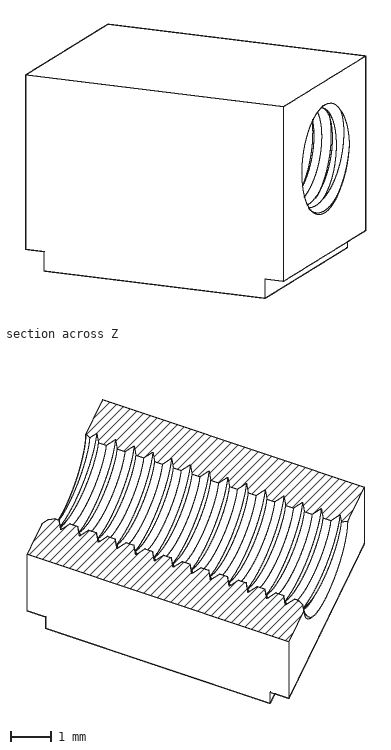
import cadquery as cq
import math

length = 7.0
width = 5.0
height = 5.0

step_length = 0.5
step_height = 0.5

bore_height = 3.0
minor_radius = 1.25
major_radius = 1.5
pitch = 0.5
flank_half_angle = math.radians(30)
chamfer_radius = 1.39
chamfer_half_angle = math.radians(30)

cutter_overlap = 0.1
overrun_turns = 2
end_clearance = 0.1

quarter_turn = 90
full_turn = 360


def make_block():
    """Block whose underside is stepped up at both X ends."""
    half_length = length / 2
    half_foot = half_length - step_length
    return (
        cq.Workplane("XZ", origin=(0, width / 2, 0))
        .polyline([
            (-half_foot, 0),
            (half_foot, 0),
            (half_foot, step_height),
            (half_length, step_height),
            (half_length, height),
            (-half_length, height),
            (-half_length, step_height),
            (-half_foot, step_height),
        ])
        .close()
        .extrude(width)
    )


def bore_tool(profile):
    """Revolve an (axial, radial) profile about the thread axis.

    A profile with negative radii puts the seam at -Y, away from the start of the thread.
    """
    return (
        cq.Workplane("XY")
        .polyline(profile)
        .close()
        .revolve(full_turn, (0, 0, 0), (1, 0, 0))
        .translate((0, 0, bore_height))
    )


def make_bore():
    """Minor-diameter bore about the thread axis, running past both ends of the block."""
    return bore_tool([
        (-length / 2 - end_clearance, 0),
        (-length / 2 - end_clearance, -minor_radius),
        (length / 2 + end_clearance, -minor_radius),
        (length / 2 + end_clearance, 0),
    ])


def make_chamfer(side):
    """Cone that opens the bore mouth at one end; side is -1 or +1 along X."""
    base_radius = chamfer_radius + end_clearance * math.tan(chamfer_half_angle)
    cone_height = base_radius / math.tan(chamfer_half_angle)
    base_x = length / 2 + end_clearance
    return bore_tool([
        (side * base_x, 0),
        (side * base_x, -base_radius),
        (side * (base_x - cone_height), 0),
    ])


def make_thread_groove():
    """Right-handed V groove whose root meets the -X face on the +Y side of the bore."""
    inner_radius = minor_radius - cutter_overlap
    half_mouth = (major_radius - inner_radius) * math.tan(flank_half_angle)
    overrun = overrun_turns * pitch
    helix = cq.Wire.makeHelix(pitch, length + 2 * overrun, inner_radius)
    groove = (
        cq.Workplane("XZ")
        .polyline([
            (inner_radius, -half_mouth),
            (major_radius, 0),
            (inner_radius, half_mouth),
        ])
        .close()
        .sweep(cq.Workplane(helix), isFrenet=True)
    )
    return (
        groove
        .rotate((0, 0, 0), (0, 1, 0), quarter_turn)
        .rotate((0, 0, 0), (1, 0, 0), quarter_turn)
        .translate((-length / 2 - overrun, 0, bore_height))
    )


body = make_block().cut(make_thread_groove()).cut(make_bore())
for end in (-1, 1):
    body = body.cut(make_chamfer(end))

result = body.solids()